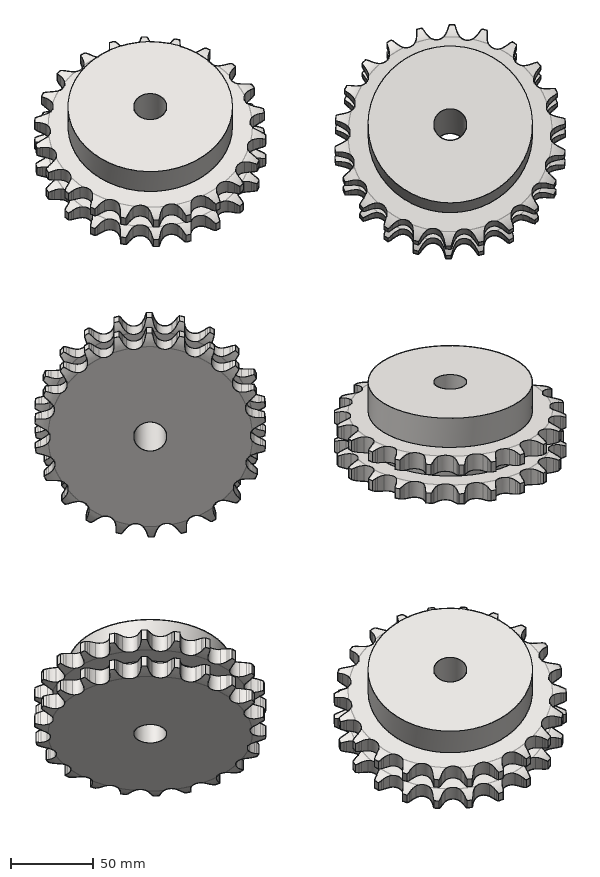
import cadquery as cq
import math


tooth_count = 22
chain_pitch = 19.0
roller_diameter = 12.1
outer_radius = 141 / 2
pitch_radius = chain_pitch / (2 * math.sin(math.pi / tooth_count))

row_width = 10.9
row_spacing = 19.5
row_count = 2
bevel_start_radius = 62.0
bevel_arc_radius = chain_pitch
bevel_width = outer_radius - bevel_start_radius

hub_diameter = 100.0
hub_height = 50.0
bore_diameter = 20.0

working_sweep = 18 - 56 / tooth_count
topping_angle = 17 - 64 / tooth_count
seating_end_slope = 90 - (35 + 60 / tooth_count)
flank_slope = seating_end_slope + working_sweep
topping_sweep = 20
seating_radius = 0.5025 * roller_diameter
working_radius = 1.3025 * roller_diameter
topping_radius = roller_diameter * (
    0.8 * math.cos(math.radians(working_sweep))
    + 1.4 * math.cos(math.radians(topping_angle))
    - 1.3025
)
straight_length = roller_diameter * (
    1.4 * math.sin(math.radians(topping_angle))
    - 0.8 * math.sin(math.radians(working_sweep))
)


def step(point, length, slope):
    """Move from a point by a length along a direction given in degrees."""
    angle = math.radians(slope)
    return (point[0] + length * math.cos(angle), point[1] + length * math.sin(angle))


def arc_step(point, radius, start_slope, end_slope):
    """Move along the arc that turns from one tangent slope to another."""
    half_turn = math.radians(abs(end_slope - start_slope) / 2)
    return step(point, 2 * radius * math.sin(half_turn), (start_slope + end_slope) / 2)


def mirror(point):
    return (-point[0], point[1])


def tooth_gap():
    """Cutter for the gap between two teeth, centred on +Y."""
    root = (0, pitch_radius - seating_radius)
    working_mid_slope = (seating_end_slope + flank_slope) / 2
    topping_mid_slope = flank_slope - topping_sweep / 2
    topping_end_slope = flank_slope - topping_sweep

    seating_end = arc_step(root, seating_radius, 0, seating_end_slope)
    working_mid = arc_step(seating_end, working_radius, seating_end_slope, working_mid_slope)
    working_end = arc_step(seating_end, working_radius, seating_end_slope, flank_slope)
    straight_end = step(working_end, straight_length, flank_slope)
    topping_mid = arc_step(straight_end, topping_radius, flank_slope, topping_mid_slope)
    topping_end = arc_step(straight_end, topping_radius, flank_slope, topping_end_slope)

    return (
        cq.Workplane("XY")
        .moveTo(*mirror(seating_end))
        .threePointArc(root, seating_end)
        .threePointArc(working_mid, working_end)
        .lineTo(*straight_end)
        .threePointArc(topping_mid, topping_end)
        .lineTo(*mirror(topping_end))
        .threePointArc(mirror(topping_mid), mirror(straight_end))
        .lineTo(*mirror(working_end))
        .threePointArc(mirror(working_mid), mirror(seating_end))
        .close()
        .extrude(hub_height)
    )


def row_blank(base):
    """Round disc for one row, its rim rounded towards the tooth tips on both faces."""
    top = base + row_width

    def bevel_drop(radial_distance):
        return bevel_arc_radius - math.sqrt(bevel_arc_radius**2 - radial_distance**2)

    mid_radius = bevel_start_radius + bevel_width / 2
    mid_drop = bevel_drop(bevel_width / 2)
    tip_drop = bevel_drop(bevel_width)
    return (
        cq.Workplane("XZ")
        .moveTo(0, base)
        .lineTo(bevel_start_radius, base)
        .threePointArc((mid_radius, base + mid_drop), (outer_radius, base + tip_drop))
        .lineTo(outer_radius, top - tip_drop)
        .threePointArc((mid_radius, top - mid_drop), (bevel_start_radius, top))
        .lineTo(0, top)
        .close()
        .revolve(360, (0, 0, 0), (0, 1, 0))
    )


sprocket = cq.Workplane("XY").circle(hub_diameter / 2).extrude(hub_height)
for row in range(row_count):
    sprocket = sprocket.union(row_blank(row * row_spacing))

gap = tooth_gap()
for index in range(tooth_count):
    sprocket = sprocket.cut(gap.rotate((0, 0, 0), (0, 0, 1), index * 360 / tooth_count))

bore = cq.Workplane("XY").circle(bore_diameter / 2).extrude(hub_height)
result = sprocket.cut(bore)